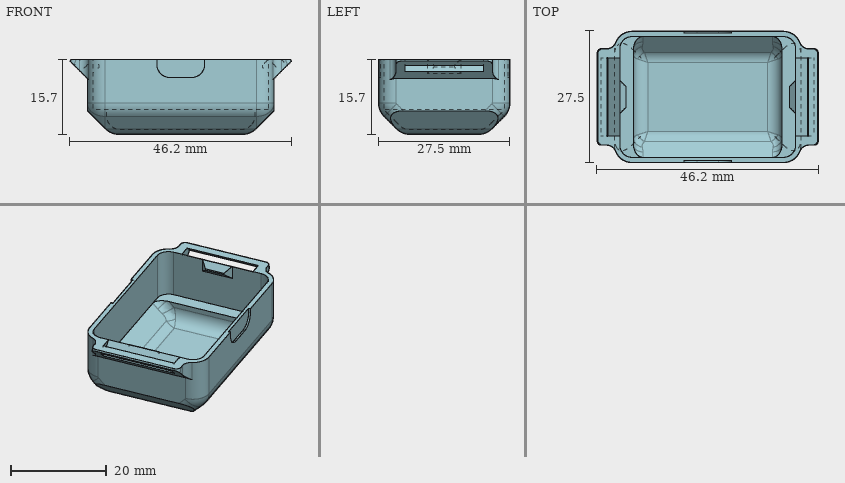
import cadquery as cq
import math

LENGTH = 46.25
BODY_LENGTH = 39.0
BODY_WIDTH = 27.45
HEIGHT = 15.7
CORNER_RADIUS = 3.7
BEVEL = 4.95
BEND_RADIUS = 4.0

WALL = 1.1
FLOOR = 1.0
LEDGE_DEPTH = 10.5
TROUGH_LENGTH = 31.1
TROUGH_CORNER_RADIUS = 2.0
TROUGH_BEND_RADIUS = 3.0

HANDLE_WIDTH = 20.15
NECK_RADIUS = 2.0
TIP_CHAMFER = 0.5
TIP_CORNER_RADIUS = 1.0
SLOT_WIDTH = 16.33
SLOT_SPAN = 2.65

RIDGE_PROJECTION = 1.35
RIDGE_WIDTH = 6.95
RIDGE_DEPTH = 1.25
RIDGE_CREST = 0.32

RECESS_WIDTH = 10.0
RECESS_HEIGHT = 3.8
RECESS_RADIUS = 2.78
RECESS_DEPTH = 0.4

half_length = BODY_LENGTH / 2
half_width = BODY_WIDTH / 2
inner_half_length = half_length - WALL
inner_half_width = half_width - WALL


def prism_along_y(points, width):
    """Extrude an (X, Z) outline along Y, centred on Y = 0."""
    return cq.Workplane("XZ").polyline(points).close().extrude(width / 2, both=True)


def both_ends(solid):
    """The solid together with its mirror image at the opposite end."""
    return solid.union(solid.mirror("YZ"))


def block(length, width, depth):
    """Box centred on X and Y that reaches down from the rim plane."""
    return cq.Workplane("XY").rect(length, width).extrude(-depth)


def side_beveled_block(length, width, depth, bevel):
    """Block whose two long bottom edges are cut back at 45 degrees."""
    return block(length, width, depth).edges("|X and <Z").chamfer(bevel)


def make_body():
    body = (
        side_beveled_block(BODY_LENGTH, BODY_WIDTH, HEIGHT, BEVEL)
        .edges("|X and (not >Z)")
        .fillet(BEND_RADIUS)
        .edges("|Z")
        .fillet(CORNER_RADIUS)
    )

    end_profile = (
        block(BODY_LENGTH, BODY_WIDTH, HEIGHT)
        .edges("|Y and <Z")
        .chamfer(BEVEL)
        .edges("|Y and <Z")
        .fillet(BEND_RADIUS)
    )
    return body.intersect(end_profile)


def make_cavity():
    upper = (
        block(2 * inner_half_length, 2 * inner_half_width, LEDGE_DEPTH)
        .edges("|Z")
        .fillet(CORNER_RADIUS - WALL)
    )

    depth = HEIGHT - FLOOR
    trough = (
        side_beveled_block(TROUGH_LENGTH, 2 * inner_half_width, depth, depth - LEDGE_DEPTH)
        .faces("<Z")
        .edges()
        .fillet(TROUGH_BEND_RADIUS)
    )
    trough = trough.edges("not (|X or |Y or |Z)").fillet(TROUGH_CORNER_RADIUS)
    return upper.union(trough)


def make_handle():
    """Handle at the +X end: a 45 degree wedge trimmed to the necked plan."""
    half_handle = HANDLE_WIDTH / 2
    outer_x = LENGTH / 2
    corner_x = half_length - CORNER_RADIUS
    corner_y = half_width - CORNER_RADIUS

    neck_y = half_handle + NECK_RADIUS
    reach = CORNER_RADIUS + NECK_RADIUS
    neck_x = corner_x + math.sqrt(reach**2 - (neck_y - corner_y) ** 2)
    share = CORNER_RADIUS / reach
    tangent_x = corner_x + share * (neck_x - corner_x)
    tangent_y = corner_y + share * (neck_y - corner_y)
    middle_angle = (math.atan2(tangent_y - neck_y, tangent_x - neck_x) - math.pi / 2) / 2
    middle = (
        neck_x + NECK_RADIUS * math.cos(middle_angle),
        neck_y + NECK_RADIUS * math.sin(middle_angle),
    )
    plan_half = (
        cq.Workplane("XY")
        .moveTo(corner_x, 0)
        .lineTo(corner_x, corner_y)
        .lineTo(tangent_x, tangent_y)
        .threePointArc(middle, (neck_x, half_handle))
        .lineTo(outer_x, half_handle)
        .lineTo(outer_x, 0)
        .close()
        .extrude(-HEIGHT)
    )
    plan = plan_half.union(plan_half.mirror("XZ"))

    drop = TIP_CHAMFER * math.sin(math.radians(45))
    sharp_x = outer_x + drop
    wedge_points = [
        (corner_x, 0),
        (sharp_x - TIP_CHAMFER, 0),
        (outer_x, -drop),
        (corner_x, corner_x - sharp_x),
    ]
    handle = plan.intersect(prism_along_y(wedge_points, BODY_WIDTH))

    tip_x = outer_x - (TIP_CHAMFER - drop) / 2
    for side_y in (half_handle, -half_handle):
        tip_edge = cq.selectors.NearestToPointSelector((tip_x, side_y, -drop / 2))
        handle = handle.edges(tip_edge).fillet(TIP_CORNER_RADIUS)
    return handle


def make_slot():
    """Slot through the +X handle, square to its sloping underside."""
    slant = HEIGHT / 2
    points = [
        (inner_half_length, 0),
        (inner_half_length + SLOT_SPAN, 0),
        (inner_half_length + SLOT_SPAN + slant, -slant),
        (inner_half_length + slant, -slant),
    ]
    return prism_along_y(points, SLOT_WIDTH)


def make_ridge():
    """Snap ridge on the +X end wall: 45 degree faces above, below and at both sides."""
    crest_x = inner_half_length - RIDGE_PROJECTION
    root_x = inner_half_length + WALL / 2
    spread = root_x - crest_x
    profile = [
        (crest_x, -RIDGE_DEPTH),
        (root_x, -RIDGE_DEPTH + spread),
        (root_x, -RIDGE_DEPTH - RIDGE_CREST - spread),
        (crest_x, -RIDGE_DEPTH - RIDGE_CREST),
    ]
    crest_half = RIDGE_WIDTH / 2 - RIDGE_PROJECTION
    outline = [
        (crest_x, crest_half),
        (crest_x, -crest_half),
        (root_x, -crest_half - spread),
        (root_x, crest_half + spread),
    ]
    plan = cq.Workplane("XY").polyline(outline).close().extrude(-HEIGHT)
    return prism_along_y(profile, BODY_WIDTH).intersect(plan)


def make_recesses():
    """U-shaped shallow recesses, open at the rim, in both long walls."""
    panel = (
        cq.Workplane("XZ")
        .center(0, -RECESS_HEIGHT / 2)
        .rect(RECESS_WIDTH, RECESS_HEIGHT)
        .extrude(RECESS_DEPTH)
        .edges("|Y and <Z")
        .fillet(RECESS_RADIUS)
        .translate((0, RECESS_DEPTH - half_width, 0))
    )
    return panel.union(panel.mirror("XZ"))


result = (
    make_body()
    .union(both_ends(make_handle()))
    .cut(make_cavity())
    .union(both_ends(make_ridge()))
    .cut(both_ends(make_slot()))
    .cut(make_recesses())
)